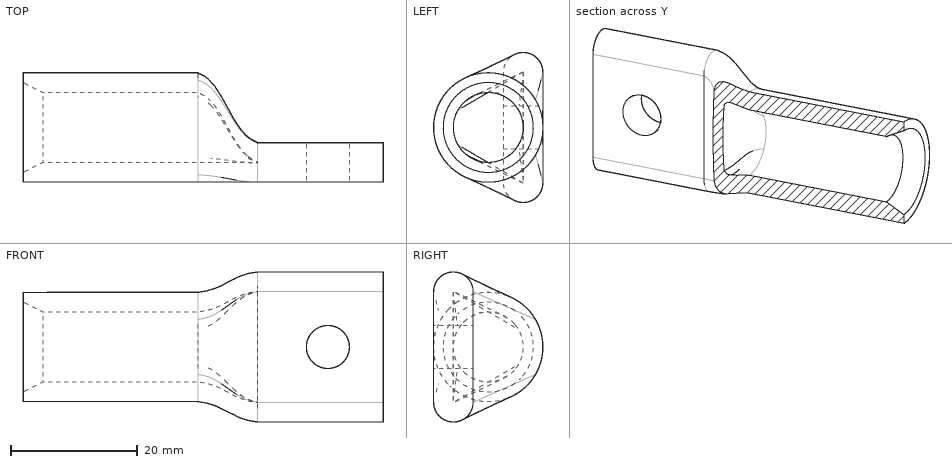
import cadquery as cq
import math

total_length = 57.15
barrel_length = 27.7
barrel_diameter = 17.4
wall = 3.15
palm_start = 37.2
palm_width = 23.85
palm_thickness = 2 * wall
hole_diameter = 6.8
hole_x = 48.35
mouth_diameter = 14.3
mouth_depth = 3.15
seam_angle = math.radians(30)
slit_thickness = 0.1
blend_steps = 4

barrel_radius = barrel_diameter / 2
bore_radius = barrel_radius - wall
palm_centre_y = -barrel_radius + palm_thickness / 2
flat_half = (palm_width - palm_thickness) / 2


def round_points(radius):
    """Eight (y, z) points on a circle: middles and ends of its four arcs."""
    corner_y = radius * math.cos(seam_angle)
    corner_z = radius * math.sin(seam_angle)
    return [
        (-radius, 0), (-corner_y, corner_z), (0, radius), (corner_y, corner_z),
        (radius, 0), (corner_y, -corner_z), (0, -radius), (-corner_y, -corner_z),
    ]


def flat_points(half_thickness):
    """The matching points on a flattened section with half-round edges."""
    low = palm_centre_y - half_thickness
    high = palm_centre_y + half_thickness
    edge = flat_half + half_thickness
    return [
        (low, 0), (low, flat_half), (palm_centre_y, edge), (high, flat_half),
        (high, 0), (high, -flat_half), (palm_centre_y, -edge), (low, -flat_half),
    ]


def arc_or_line(start, middle, end):
    if math.isclose(start.y, middle.y) and math.isclose(middle.y, end.y):
        return cq.Edge.makeLine(start, end)
    return cq.Edge.makeThreePointArc(start, middle, end)


def section(x, points):
    """Closed wire of four edges through the eight points, at position x."""
    places = [cq.Vector(x, y, z) for y, z in points]
    edges = [
        arc_or_line(places[i - 1], places[i], places[(i + 1) % len(places)])
        for i in range(0, len(places), 2)
    ]
    return cq.Wire.assembleEdges(edges)


def transition(radius, half_thickness):
    """Smooth change from the round tube to the flattened tube."""
    wires = []
    for step in range(blend_steps + 1):
        travel = step / blend_steps
        blend = travel**2 * (3 - 2 * travel)
        points = [
            (y0 + blend * (y1 - y0), z0 + blend * (z1 - z0))
            for (y0, z0), (y1, z1) in zip(round_points(radius), flat_points(half_thickness))
        ]
        x = barrel_length + travel * (palm_start - barrel_length)
        wires.append(section(x, points))
    return cq.Workplane(obj=cq.Solid.makeLoft(wires))


barrel = cq.Workplane("YZ").circle(barrel_radius).extrude(barrel_length)
palm = (
    cq.Workplane("YZ", origin=(palm_start, palm_centre_y, 0))
    .slot2D(palm_width, palm_thickness, 90)
    .extrude(total_length - palm_start)
)
body = barrel.union(transition(barrel_radius, palm_thickness / 2)).union(palm)

bore = cq.Workplane("YZ").circle(bore_radius).extrude(barrel_length)
mouth = cq.Workplane(
    obj=cq.Solid.makeCone(
        mouth_diameter / 2, bore_radius, mouth_depth, cq.Vector(0, 0, 0), cq.Vector(1, 0, 0)
    )
)
body = body.cut(bore).cut(transition(bore_radius, slit_thickness / 2)).cut(mouth)

bolt_hole = (
    cq.Workplane("XZ", origin=(hole_x, barrel_radius, 0))
    .circle(hole_diameter / 2)
    .extrude(barrel_diameter)
)
result = body.cut(bolt_hole).solids()